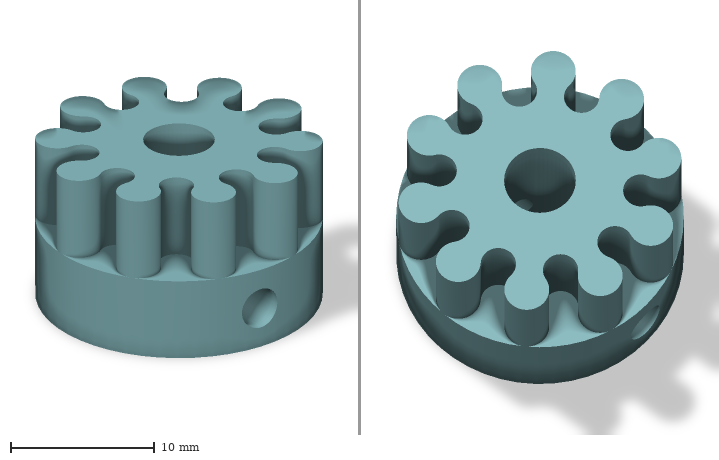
import cadquery as cq
import math

outer_radius = 10.04
total_height = 12.0
base_height = total_height / 2
bore_diameter = 5.0
cross_hole_diameter = 3.0

tooth_count = 10
pitch_angle = 2 * math.pi / tooth_count
tooth_radius = 1.57
tooth_center_radius = outer_radius - tooth_radius
gap_bottom_radius = 5.85

tooth_center_x = tooth_center_radius * math.cos(pitch_angle / 2)
tooth_center_y = tooth_center_radius * math.sin(pitch_angle / 2)
gap_radius = (
    ((tooth_center_x - gap_bottom_radius) ** 2 + tooth_center_y**2 - tooth_radius**2)
    / (2 * (tooth_radius + tooth_center_x - gap_bottom_radius))
)
gap_center_radius = gap_bottom_radius + gap_radius


def polar(radius, angle):
    return (radius * math.cos(angle), radius * math.sin(angle))


def gear_blank():
    """Extrude the outline of alternating, tangent gap and tooth arcs."""
    share = gap_radius / (gap_radius + tooth_radius)
    touch_x = gap_center_radius + share * (tooth_center_x - gap_center_radius)
    touch_y = share * tooth_center_y
    touch_radius = math.hypot(touch_x, touch_y)
    touch_angle = math.atan2(touch_y, touch_x)

    outline = cq.Workplane("XY", origin=(0, 0, base_height))
    outline = outline.moveTo(*polar(touch_radius, -touch_angle))
    for index in range(tooth_count):
        gap_angle = index * pitch_angle
        tooth_angle = gap_angle + pitch_angle / 2
        next_gap_angle = gap_angle + pitch_angle
        outline = outline.threePointArc(
            polar(gap_bottom_radius, gap_angle),
            polar(touch_radius, gap_angle + touch_angle),
        )
        outline = outline.threePointArc(
            polar(outer_radius, tooth_angle),
            polar(touch_radius, next_gap_angle - touch_angle),
        )
    return outline.close().extrude(total_height - base_height)


base = cq.Workplane("XY").circle(outer_radius).extrude(base_height)
bore = cq.Workplane("XY").circle(bore_diameter / 2).extrude(total_height)

cross_hole = (
    cq.Workplane("YZ", origin=(0, 0, base_height / 2))
    .circle(cross_hole_diameter / 2)
    .extrude(outer_radius, both=True)
)

result = base.union(gear_blank()).cut(bore).cut(cross_hole)